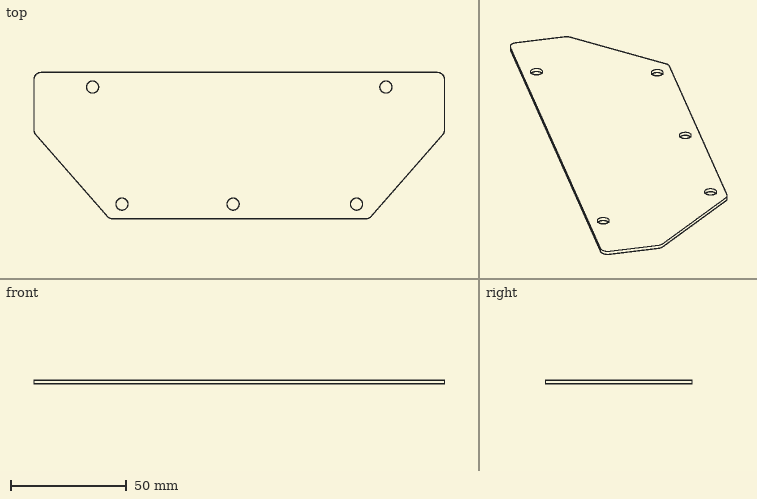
import cadquery as cq

length = 177.8
width = 63.5
thickness = 1.58
lower_edge_length = 112.4
side_edge_length = 26.1
corner_radius = 3.2

hole_diameter = 5.2
hole_edge_inset = 6.4
upper_hole_spacing = 127.0
lower_hole_spacing = 101.5
middle_hole_x = -2.7

half_length = length / 2
half_width = width / 2
half_lower_edge = lower_edge_length / 2
shoulder_y = half_width - side_edge_length
hole_row_y = half_width - hole_edge_inset


def make_plate():
    """Flat plate tapering to a shorter lower edge, with rounded corners."""
    outline = [
        (-half_length, half_width),
        (half_length, half_width),
        (half_length, shoulder_y),
        (half_lower_edge, -half_width),
        (-half_lower_edge, -half_width),
        (-half_length, shoulder_y),
    ]
    plate = cq.Workplane("XY").polyline(outline).close().extrude(thickness)
    return plate.edges("|Z").fillet(corner_radius)


def drill_holes(plate):
    """Two holes along the upper edge and three along the lower edge."""
    hole_centres = [
        (-upper_hole_spacing / 2, hole_row_y),
        (upper_hole_spacing / 2, hole_row_y),
        (-lower_hole_spacing / 2, -hole_row_y),
        (middle_hole_x, -hole_row_y),
        (lower_hole_spacing / 2, -hole_row_y),
    ]
    return plate.faces(">Z").workplane(origin=(0, 0, 0)).pushPoints(hole_centres).hole(hole_diameter)


result = drill_holes(make_plate())